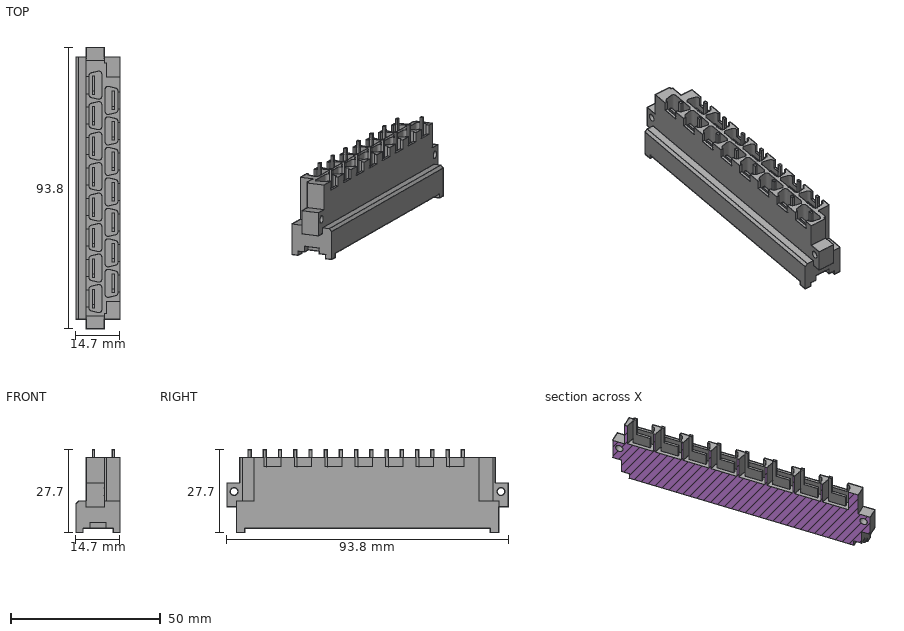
import cadquery as cq


TOTAL_WIDTH = 14.7
TOTAL_LENGTH = 93.85
TOTAL_HEIGHT = 27.7

BASE_LENGTH = 87.5
BASE_TOP = 10.6
BASE_CHAMFER = 0.9
LEG_HEIGHT = 1.45
LEG_WIDTH = 2.35
LEG_LENGTH = 2.85
END_NOTCH_START_X = 4.6
END_NOTCH_WIDTH = 5.4
END_NOTCH_TOP = 3.45
END_NOTCH_DEPTH = LEG_LENGTH

BODY_TOP = 25.1
BODY_LENGTH = 85.2
BODY_FRONT_X = 3.4
SHOULDER_X = 9.5
SHOULDER_INSET = 2.0
REAR_X = 10.1
REAR_Y_MIN = -37.8
REAR_Y_MAX = 37.1

EAR_BOTTOM = 8.6
EAR_TOP = 16.6
EAR_HOLE_DIAMETER = 2.5
EAR_HOLE_INSET = 2.45
EAR_HOLE_Z = 13.7

CONTACT_PITCH = 10.16
FRONT_ROW_COUNT = 8
REAR_ROW_COUNT = FRONT_ROW_COUNT - 1
ROW_CENTER_Y = -1.25
ROW_MIRROR_X = 9.15
POCKET_NARROW_X = 4.35
POCKET_WIDTH = 4.25
POCKET_NARROW_LENGTH = 7.9
POCKET_WIDE_LENGTH = 9.9
POCKET_CORNER_RADIUS = 1.0
POCKET_DEPTH = 8.0

WINDOW_LENGTH = 5.7
WINDOW_DEPTH = 3.1

BLADE_X = 5.45
BLADE_THICKNESS = 0.8
BLADE_LENGTH = 6.2
BLADE_TOP = 21.3
PIN_LENGTH = 1.15

POCKET_FLOOR = BODY_TOP - POCKET_DEPTH


def box(x_range, y_range, z_range):
    """Axis-aligned block between the given limits."""
    x0, x1 = x_range
    y0, y1 = y_range
    z0, z1 = z_range
    return cq.Workplane("XY").box(x1 - x0, y1 - y0, z1 - z0, centered=False).translate((x0, y0, z0))


def centered_span(length, center=0.0):
    return (center - length / 2, center + length / 2)


def make_base():
    """Long block on four corner legs, with a chamfered top edge and end notches."""
    base_span = centered_span(BASE_LENGTH)
    base = box((0, TOTAL_WIDTH), base_span, (0, BASE_TOP))
    base = base.edges("<X and >Z").chamfer(BASE_CHAMFER)

    between_legs_x = (LEG_WIDTH, TOTAL_WIDTH - LEG_WIDTH)
    between_legs_y = centered_span(BASE_LENGTH - 2 * LEG_LENGTH)
    base = base.cut(box(between_legs_x, base_span, (0, LEG_HEIGHT)))
    base = base.cut(box((0, TOTAL_WIDTH), between_legs_y, (0, LEG_HEIGHT)))

    notch_x = (END_NOTCH_START_X, END_NOTCH_START_X + END_NOTCH_WIDTH)
    for y_start in (base_span[0], base_span[1] - END_NOTCH_DEPTH):
        notch_y = (y_start, y_start + END_NOTCH_DEPTH)
        base = base.cut(box(notch_x, notch_y, (LEG_HEIGHT, END_NOTCH_TOP)))
    return base


def make_body():
    """Tall stepped body that holds the contact rows."""
    body_z = (EAR_BOTTOM, BODY_TOP)
    front = box((BODY_FRONT_X, SHOULDER_X), centered_span(BODY_LENGTH), body_z)
    shoulder_length = BASE_LENGTH - 2 * SHOULDER_INSET
    shoulder = box((SHOULDER_X, REAR_X), centered_span(shoulder_length), body_z)
    rear = box((REAR_X, TOTAL_WIDTH), (REAR_Y_MIN, REAR_Y_MAX), body_z)
    return front.union(shoulder).union(rear)


def make_ears():
    """Bar whose ends are the mounting ears, and the cutter for its two cross holes."""
    bar = box((BODY_FRONT_X, SHOULDER_X), centered_span(TOTAL_LENGTH), (EAR_BOTTOM, EAR_TOP))
    hole_y = TOTAL_LENGTH / 2 - EAR_HOLE_INSET
    holes = (
        cq.Workplane("YZ", origin=(BODY_FRONT_X, 0, 0))
        .pushPoints([(-hole_y, EAR_HOLE_Z), (hole_y, EAR_HOLE_Z)])
        .circle(EAR_HOLE_DIAMETER / 2)
        .extrude(SHOULDER_X - BODY_FRONT_X)
    )
    return bar, holes


def make_pocket():
    """Cutter for one front-row pocket and its window, centred on Y = 0."""
    wide_x = POCKET_NARROW_X + POCKET_WIDTH
    pocket = (
        cq.Workplane("XY", origin=(0, 0, POCKET_FLOOR))
        .moveTo(POCKET_NARROW_X, -POCKET_NARROW_LENGTH / 2)
        .lineTo(wide_x, -POCKET_WIDE_LENGTH / 2)
        .lineTo(wide_x, POCKET_WIDE_LENGTH / 2)
        .lineTo(POCKET_NARROW_X, POCKET_NARROW_LENGTH / 2)
        .close()
        .extrude(POCKET_DEPTH)
        .edges("|Z")
        .fillet(POCKET_CORNER_RADIUS)
    )
    window_x = (BODY_FRONT_X, BLADE_X)
    window = box(window_x, centered_span(WINDOW_LENGTH), (BODY_TOP - WINDOW_DEPTH, BODY_TOP))
    return pocket.union(window)


def make_contact():
    """One front-row contact standing on the pocket floor, centred on Y = 0."""
    contact_x = (BLADE_X, BLADE_X + BLADE_THICKNESS)
    blade_y = centered_span(BLADE_LENGTH)
    pin_y = (blade_y[0], blade_y[0] + PIN_LENGTH)
    blade = box(contact_x, blade_y, (POCKET_FLOOR, BLADE_TOP))
    pin = box(contact_x, pin_y, (POCKET_FLOOR, TOTAL_HEIGHT))
    return blade.union(pin)


def row_centers(count):
    first_y = ROW_CENTER_Y - (count - 1) * CONTACT_PITCH / 2
    return [first_y + i * CONTACT_PITCH for i in range(count)]


def mirrored_to_rear(shape):
    return shape.mirror("YZ", (ROW_MIRROR_X, 0, 0))


ears, ear_holes = make_ears()
result = make_base().union(make_body()).union(ears).cut(ear_holes)

front_pocket = make_pocket()
front_contact = make_contact()
rows = [
    (front_pocket, front_contact, FRONT_ROW_COUNT),
    (mirrored_to_rear(front_pocket), mirrored_to_rear(front_contact), REAR_ROW_COUNT),
]
for pocket, contact, count in rows:
    for y in row_centers(count):
        result = result.cut(pocket.translate((0, y, 0)))
        result = result.union(contact.translate((0, y, 0)))